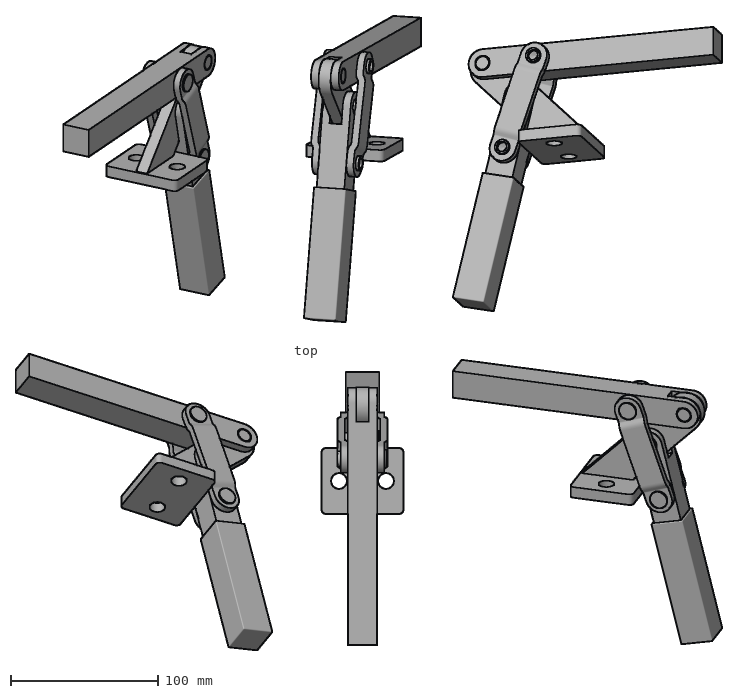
import cadquery as cq
import math


bar_width = 19.9
bar_half = bar_width / 2

arm_pivot_y = 0.0
arm_pivot_z = 64.1
arm_to_link = 38.3
link_length = 67.0
link_tilt = 19.3
lever_tilt = 13.9
lever_pivot_to_link = 38.5

upper_link_y = arm_pivot_y - arm_to_link
upper_link_z = arm_pivot_z
lower_link_y = upper_link_y + link_length * math.sin(math.radians(link_tilt))
lower_link_z = upper_link_z - link_length * math.cos(math.radians(link_tilt))
lever_pivot_y = lower_link_y - lever_pivot_to_link * math.sin(math.radians(lever_tilt))
lever_pivot_z = lower_link_z + lever_pivot_to_link * math.cos(math.radians(lever_tilt))

base_width = 56.0
base_length = 45.0
base_thickness = 8.0
base_corner_radius = 3.2
base_centre_y = -53.3
mount_hole_spacing = 32.0
mount_hole_diameter = 10.6

web_thickness = 8.5
web_radius = 12.8
web_tilt = 45.0
web_end_inset = 3.3

arm_tip_y = -165.0
arm_slot_depth = 13.2
hinge_pin_radius = 4.6
hinge_pin_clearance = 0.5

lever_slot_depth = 13.0
grip_width = 23.0
grip_start = lever_pivot_to_link + 18.5
grip_length = 89.5
grip_edge = 0.7

link_thickness = 5.0
link_end_radius = 9.5
link_joggle = 2.0
joggle_start = 6.7
joggle_angle = 30.0
joggle_inner_radius = 1.5

rivet_head_radius = 5.0
rivet_head_height = 2.0
rivet_bore_radius = 3.5
rivet_bore_depth = 2.0
rivet_point_depth = 2.0
retainer_radius = 6.1
retainer_height = 1.1


def box(width, y_min, y_max, z_min, z_max):
    """Block centred on X = 0."""
    return cq.Workplane("XY").box(width, y_max - y_min, z_max - z_min).translate(
        (0, (y_min + y_max) / 2, (z_min + z_max) / 2)
    )


def disc(radius, x_min, x_max):
    """Round disc about the X axis."""
    return cq.Workplane("YZ", origin=(x_min, 0, 0)).circle(radius).extrude(x_max - x_min)


def place(body, tilt, y, z):
    """Swing a body that hangs straight down from its pivot and move the pivot to (y, z)."""
    return body.rotate((0, 0, 0), (1, 0, 0), tilt).translate((0, y, z))


def make_base():
    plate = (
        box(base_width, -base_length / 2, base_length / 2, 0, base_thickness)
        .edges("|Z").fillet(base_corner_radius)
        .faces(">Z").workplane(origin=(0, 0, 0)).rarray(mount_hole_spacing, 1.9, 2, 1)
        .hole(mount_hole_diameter)
    )
    return plate.translate((0, base_centre_y, 0))


def make_web():
    """Round-ended band leaning at 45 degrees, cut off on top of the base."""
    half = web_thickness / 2
    reach = 2 * arm_pivot_z
    band = box(web_thickness, -web_radius, web_radius, -reach, -web_end_inset)
    band = band.union(disc(web_radius, -half, half).translate((0, 0, -web_end_inset)))
    band = place(band, -web_tilt, arm_pivot_y, arm_pivot_z)
    above_base = box(base_width, arm_tip_y, -arm_tip_y, base_thickness, reach)
    return band.intersect(above_base)


def make_arm():
    """Horizontal bar with a round, slotted end and a hinge pin in the slot ears."""
    arm = box(bar_width, arm_tip_y, arm_pivot_y, -bar_half, bar_half)
    arm = arm.union(disc(bar_half, -bar_half, bar_half))
    arm = arm.cut(box(web_thickness, -arm_slot_depth, bar_width, -bar_width, bar_width))
    bore = disc(hinge_pin_radius + hinge_pin_clearance, -bar_half, bar_half)
    pin = disc(hinge_pin_radius, -bar_half, bar_half)
    return arm.cut(bore).union(pin).translate((0, arm_pivot_y, arm_pivot_z))


def make_lever():
    """Slotted bar with a larger grip on its lower end."""
    grip_end = grip_start + grip_length
    bar = box(bar_width, -bar_half, bar_half, -grip_end + bar_half, 0)
    bar = bar.union(disc(bar_half, -bar_half, bar_half))
    bar = bar.cut(box(web_thickness, -bar_width, bar_width, -lever_slot_depth, bar_width))
    grip = box(grip_width, -grip_width / 2, grip_width / 2, -grip_end, -grip_start)
    grip = grip.edges().fillet(grip_edge)
    return place(bar.union(grip), lever_tilt, lever_pivot_y, lever_pivot_z)


def joggle_points(end_radius, middle_radius):
    """Six (x, z) points of one link face through the upper joggle, from the end inwards.

    The face bends round a centre outside the link, then back round a centre inside it.
    """
    angle = math.radians(joggle_angle)
    radii = end_radius + middle_radius
    slope = (link_joggle - radii * (1 - math.cos(angle))) / math.sin(angle)
    joggle_length = radii * math.sin(angle) + slope * math.cos(angle)
    outer_centre_x = bar_half + link_thickness + joggle_inner_radius
    inner_centre_x = bar_half + link_joggle - joggle_inner_radius
    first_bend = [
        (outer_centre_x - end_radius * math.cos(a), -joggle_start - end_radius * math.sin(a))
        for a in (0, angle / 2, angle)
    ]
    second_bend = [
        (
            inner_centre_x + middle_radius * math.cos(a),
            -joggle_start - joggle_length + middle_radius * math.sin(a),
        )
        for a in (angle, angle / 2, 0)
    ]
    return first_bend + second_bend


def trace_joggle(outline, points):
    """Bend, short slope, bend back."""
    outline = outline.lineTo(*points[0]).threePointArc(points[1], points[2])
    return outline.lineTo(*points[3]).threePointArc(points[4], points[5])


def mirrored_end(points):
    """The same joggle at the lower end of the link, in the same order from the end inwards."""
    return [(x, -link_length - z) for x, z in points]


def make_link():
    """Link on the +X side: a joggled strip with round ends."""
    joggle_outer_radius = joggle_inner_radius + link_thickness
    outer = joggle_points(joggle_inner_radius, joggle_outer_radius)
    inner = joggle_points(joggle_outer_radius, joggle_inner_radius)
    top = link_end_radius
    bottom = -link_length - link_end_radius

    strip = cq.Workplane("XZ").moveTo(bar_half + link_thickness, top)
    strip = trace_joggle(strip, outer)
    strip = trace_joggle(strip, mirrored_end(outer)[::-1])
    strip = strip.lineTo(bar_half + link_thickness, bottom).lineTo(bar_half, bottom)
    strip = trace_joggle(strip, mirrored_end(inner))
    strip = trace_joggle(strip, inner[::-1])
    strip = strip.lineTo(bar_half, top).close().extrude(link_end_radius, both=True)

    side_outline = (
        cq.Workplane("YZ").center(0, -link_length / 2)
        .slot2D(link_length + 2 * link_end_radius, 2 * link_end_radius, 90)
        .extrude(base_width)
    )
    return place(strip.intersect(side_outline), link_tilt, upper_link_y, upper_link_z)


def make_rivet(seat_x):
    """Rivet through faces at -seat_x and +seat_x: round head on -X, flat retainer on +X."""
    head = disc(rivet_head_radius, -seat_x - rivet_head_height, seat_x)
    return head.union(disc(retainer_radius, seat_x, seat_x + retainer_height))


def make_rivet_hole(seat_x):
    """Blind hole with a conical bottom, in the head of a rivet."""
    head_x = -seat_x - rivet_head_height
    bottom_x = head_x + rivet_bore_depth
    cone_base = cq.Vector(bottom_x, 0, 0)
    cone = cq.Solid.makeCone(rivet_bore_radius, 0, rivet_point_depth, cone_base, cq.Vector(1, 0, 0))
    return disc(rivet_bore_radius, head_x, bottom_x).union(cq.Workplane(cone))


result = make_base().union(make_web()).union(make_arm()).union(make_lever())
lever_rivet = make_rivet(bar_half)
result = result.union(lever_rivet.translate((0, lever_pivot_y, lever_pivot_z)))

link = make_link()
result = result.union(link).union(link.mirror("YZ"))

link_seat = bar_half + link_thickness
link_rivet = make_rivet(link_seat)
rivet_hole = make_rivet_hole(link_seat)
for pivot_y, pivot_z in ((upper_link_y, upper_link_z), (lower_link_y, lower_link_z)):
    pivot = (0, pivot_y, pivot_z)
    result = result.union(link_rivet.translate(pivot)).cut(rivet_hole.translate(pivot))